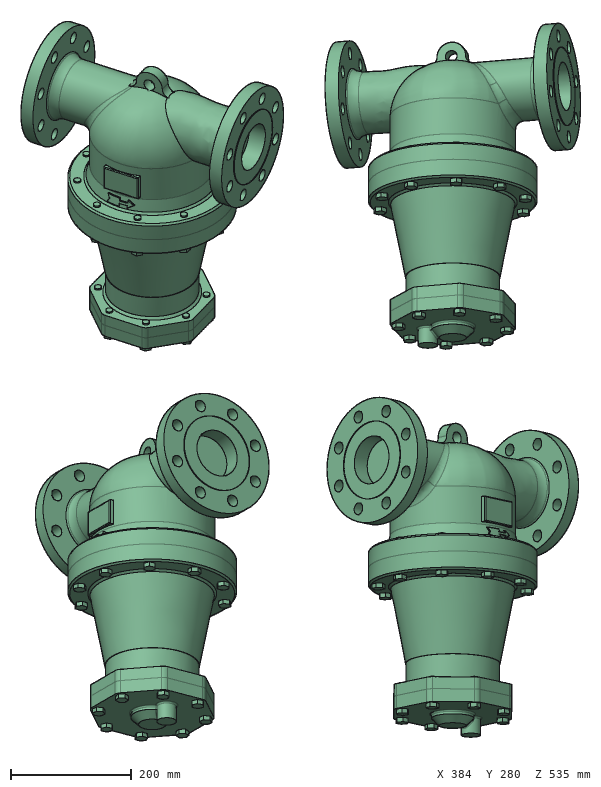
import cadquery as cq
import math


pick_margin = 0.5

face_to_face = 384.0
pipe_diameter = 104.0
overall_height = 535
end_flange_diameter = 210.0
pipe_axis_z = overall_height - end_flange_diameter / 2
raised_face_diameter = 130.5
raised_face_height = 1.5
end_flange_thickness = 23.0
end_bolt_circle = 168.0
end_bolt_hole = 20.0
end_bolt_count = 8
bore_diameter = 80
bore_depth = 30.5
hub_length = 20.0
hub_rise = 5.5
hub_end_x = face_to_face / 2 - raised_face_height - end_flange_thickness - hub_length
hub_fillet = 2.0
outlet_bend_x = 96.5
outlet_crest_x = 56.0
outlet_crest_rise = 3.0
outlet_end_x = 21.5
outlet_end_drop = 7.5
inlet_blend = 14.5

body_diameter = 208.0
dome_base_z = 393.0
dome_height = 93.0
flare_top_z = 330.5
flare_bottom_diameter = 219.5

main_flange_diameter = 280.0
main_flange_top_z = 305.5
main_flange_split_z = 275.0
main_flange_bottom_z = 244.5
main_flange_chamfer = 3.0
main_neck_fillet = 4.0
main_bolt_circle = 250.0
main_bolt_count = 10
stud_diameter = 12.0
stud_height = 2.5
nut_corner_width = 21.5
nut_height = 7.5

cone_top_diameter = 206.0
cone_bottom_diameter = 157.0
cone_bottom_z = 114.5
neck_diameter = 155
neck_fillet = 4.5

octagon_width = 195.0
octagon_corner_radius = 13.5
octagon_top_z = 71.0
octagon_split_z = 51.0
octagon_bottom_z = 29.0
octagon_bolt_circle = 181.0
octagon_bolt_count = 8
octagon_turn = 180 / octagon_bolt_count

boss_diameter = 70.5
boss_bottom_diameter = 45.0
boss_fillet = 2.5
drain_blend = 2.0
boss_edge_z = 22.0
boss_bottom_z = 9.5
drain_diameter = 32
drain_x = 43

lug_hole_z = 495.5
lug_hole_diameter = 20.0
lug_radius = 24.5
lug_thickness = 20.0
lug_root_radius = 14.0
lug_foot_z = 460

pad_width = 65.5
pad_height = 43
pad_center_z = 356.5
pad_face_y = -107
pad_chamfer = 1.5
arrow_relief = 2.5
arrow_center_z = 319.5
arrow_half_length = 25.0
arrow_half_height = 7.0
arrow_tail_notch = 4.5
arrow_tail_end_x = -1.0
arrow_shaft_half_height = 2.0
arrow_head_base_x = 14.0


def cylinder_z(diameter, z_low, z_high, x=0.0, y=0.0):
    return cq.Workplane("XY", origin=(x, y, z_low)).circle(diameter / 2).extrude(z_high - z_low)


def around_z(bolt_circle, count, start_angle, make):
    """Fuse copies of make(x, y, angle) spaced evenly on a bolt circle."""
    ring = cq.Workplane("XY")
    for i in range(count):
        angle = start_angle + i * 360 / count
        x = bolt_circle / 2 * math.cos(math.radians(angle))
        y = bolt_circle / 2 * math.sin(math.radians(angle))
        ring = ring.add(make(x, y, angle))
    return ring.combine()


def bolts(bolt_circle, count, start_angle, top_z, bottom_z):
    """Stud ends standing on the flange and hexagon nuts under it."""
    def one(x, y, angle):
        stud = cylinder_z(stud_diameter, bottom_z, top_z + stud_height, x, y)
        nut = (
            cq.Workplane("XY", origin=(0, 0, bottom_z - nut_height))
            .polygon(6, nut_corner_width)
            .extrude(nut_height)
            .rotate((0, 0, 0), (0, 0, 1), angle)
            .translate((x, y, 0))
        )
        return stud.union(nut).val()

    return around_z(bolt_circle, count, start_angle, one)


def pipe_end():
    """Hub, flange and raised face of the -X pipe."""
    face_x = -face_to_face / 2
    front_x = face_x + raised_face_height
    back_x = front_x + end_flange_thickness
    fillet_x = back_x + hub_fillet
    hub_x = -hub_end_x
    pipe_radius = pipe_diameter / 2
    hub_run = hub_x - fillet_x
    hub_radius = (hub_run**2 + hub_rise**2) / (2 * hub_rise)
    half_angle = math.asin(hub_run / hub_radius) / 2
    hub_mid = (
        hub_x - hub_radius * math.sin(half_angle),
        pipe_radius + hub_radius * (1 - math.cos(half_angle)),
    )
    hub_end_radius = pipe_radius + hub_rise
    profile = (
        cq.Workplane("XY")
        .moveTo(face_x, 0)
        .lineTo(face_x, raised_face_diameter / 2)
        .lineTo(front_x, raised_face_diameter / 2)
        .lineTo(front_x, end_flange_diameter / 2)
        .lineTo(back_x, end_flange_diameter / 2)
        .lineTo(back_x, hub_end_radius + hub_fillet)
        .lineTo(fillet_x, hub_end_radius)
        .threePointArc(hub_mid, (hub_x, pipe_radius))
        .lineTo(hub_x, 0)
        .close()
    )
    return profile.revolve(360, (0, 0, 0), (1, 0, 0)).translate((0, 0, pipe_axis_z))


def end_flange_cuts():
    """Bolt holes through the -X flange and the blind bore in its face."""
    face_x = -face_to_face / 2
    plane = cq.Workplane("YZ", origin=(face_x, 0, pipe_axis_z))
    holes = (
        plane.polarArray(end_bolt_circle / 2, 180 / end_bolt_count, 360, end_bolt_count)
        .circle(end_bolt_hole / 2)
        .extrude(raised_face_height + end_flange_thickness)
    )
    return holes.union(plane.circle(bore_diameter / 2).extrude(bore_depth))


def body_of_revolution(offset=0.0):
    """Cylinder with an elliptical dome and a flared foot, optionally swollen outward."""
    radius = body_diameter / 2 + offset
    foot_radius = flare_bottom_diameter / 2 + offset
    profile = (
        cq.Workplane("XZ")
        .moveTo(0, main_flange_top_z)
        .lineTo(foot_radius + main_neck_fillet, main_flange_top_z)
        .lineTo(foot_radius, main_flange_top_z + main_neck_fillet)
        .lineTo(radius, flare_top_z)
        .lineTo(radius, dome_base_z)
        .ellipseArc(radius, dome_height, 0, 90, startAtCurrent=True)
        .close()
    )
    return profile.revolve(360, (0, 0, 0), (0, 1, 0))


def inlet_pipe():
    """Straight pipe from the -X hub to the vessel axis."""
    inlet = cq.Workplane("YZ", origin=(-hub_end_x, 0, pipe_axis_z))
    return inlet.circle(pipe_diameter / 2).extrude(hub_end_x)


def outlet_pipe():
    """Straight pipe that humps slightly and then dips on its way into the dome."""
    path = (
        cq.Workplane("XZ")
        .moveTo(hub_end_x, pipe_axis_z)
        .spline(
            [
                (outlet_bend_x, pipe_axis_z),
                (outlet_crest_x, pipe_axis_z + outlet_crest_rise),
                (outlet_end_x, pipe_axis_z - outlet_end_drop),
            ],
            tangents=[(-1, 0), (-1, -0.5)],
            includeCurrent=True,
        )
    )
    return cq.Workplane("YZ", origin=(hub_end_x, 0, pipe_axis_z)).circle(pipe_diameter / 2).sweep(path)


def lower_body():
    """Main flange, cone, neck and the fillet onto the octagonal flange."""
    flange_radius = main_flange_diameter / 2
    cone_radius = cone_top_diameter / 2
    neck_radius = neck_diameter / 2
    profile = (
        cq.Workplane("XZ")
        .moveTo(0, octagon_top_z)
        .lineTo(neck_radius + neck_fillet, octagon_top_z)
        .lineTo(neck_radius, octagon_top_z + neck_fillet)
        .lineTo(neck_radius, cone_bottom_z)
        .lineTo(cone_bottom_diameter / 2, cone_bottom_z)
        .lineTo(cone_radius, main_flange_bottom_z - main_neck_fillet)
        .lineTo(cone_radius + main_neck_fillet, main_flange_bottom_z)
        .lineTo(flange_radius - main_flange_chamfer, main_flange_bottom_z)
        .lineTo(flange_radius, main_flange_bottom_z + main_flange_chamfer)
        .lineTo(flange_radius, main_flange_top_z - main_flange_chamfer)
        .lineTo(flange_radius - main_flange_chamfer, main_flange_top_z)
        .lineTo(0, main_flange_top_z)
        .close()
    )
    return profile.revolve(360, (0, 0, 0), (0, 1, 0))


def octagon_flange():
    """Octagon with rounded corners and flats facing along X and Y."""
    corner_diameter = octagon_width / math.cos(math.radians(octagon_turn))
    return (
        cq.Workplane("XY", origin=(0, 0, octagon_bottom_z))
        .polygon(octagon_bolt_count, corner_diameter)
        .extrude(octagon_top_z - octagon_bottom_z)
        .rotate((0, 0, 0), (0, 0, 1), octagon_turn)
        .edges("|Z")
        .fillet(octagon_corner_radius)
    )


def add_drain(cover):
    """Conical boss and drain pipe under the cover, blended into it and into each other."""
    boss_radius = boss_diameter / 2
    boss = (
        cq.Workplane("XZ")
        .moveTo(0, octagon_bottom_z)
        .lineTo(boss_radius, octagon_bottom_z)
        .lineTo(boss_radius, boss_edge_z)
        .lineTo(boss_bottom_diameter / 2, boss_bottom_z)
        .lineTo(0, boss_bottom_z)
        .close()
        .revolve(360, (0, 0, 0), (0, 1, 0))
        .rotate((0, 0, 0), (0, 0, 1), 180)
    )
    drain = cylinder_z(drain_diameter, 0, octagon_bottom_z, drain_x)
    reach = drain_x + drain_diameter
    pipe_edges = cq.selectors.BoxSelector(
        (boss_bottom_diameter / 2, -drain_diameter, pick_margin),
        (drain_x + pick_margin, drain_diameter, octagon_bottom_z + pick_margin),
        boundingbox=True,
    )
    foot_edges = cq.selectors.BoxSelector(
        (-reach, -reach, octagon_bottom_z - pick_margin),
        (reach, reach, octagon_bottom_z + pick_margin),
        boundingbox=True,
    )
    blended = cover.union(boss).union(drain)
    return blended.edges(pipe_edges).fillet(drain_blend).edges(foot_edges).fillet(boss_fillet)


def lug():
    """Round eye whose sides sweep outward in quarter arcs onto the dome."""
    root_x = lug_radius + lug_root_radius
    root_z = lug_hole_z - lug_root_radius
    arc_x = root_x - lug_root_radius * math.sqrt(0.5)
    arc_z = lug_hole_z - lug_root_radius * math.sqrt(0.5)
    return (
        cq.Workplane("XZ", origin=(0, lug_thickness / 2, 0))
        .moveTo(-lug_radius, lug_hole_z)
        .threePointArc((0, lug_hole_z + lug_radius), (lug_radius, lug_hole_z))
        .threePointArc((arc_x, arc_z), (root_x, root_z))
        .lineTo(root_x, lug_foot_z)
        .lineTo(-root_x, lug_foot_z)
        .lineTo(-root_x, root_z)
        .threePointArc((-arc_x, arc_z), (-lug_radius, lug_hole_z))
        .close()
        .extrude(lug_thickness)
    )


def lug_hole():
    """Bar through the lug, which also grazes the top of the dome."""
    return (
        cq.Workplane("XZ", origin=(0, lug_thickness, lug_hole_z))
        .circle(lug_hole_diameter / 2)
        .extrude(2 * lug_thickness)
    )


def name_pad():
    """Flat rectangular pad with a chamfered rim, standing out of the body toward -Y."""
    return (
        cq.Workplane("XY")
        .box(pad_width, -pad_face_y, pad_height)
        .translate((0, pad_face_y / 2, pad_center_z))
        .faces("<Y")
        .chamfer(pad_chamfer)
    )


def flow_arrow():
    """Arrow pointing to +X, raised evenly from the flared foot of the body."""
    upper_half = [
        (-arrow_half_length, arrow_half_height),
        (arrow_tail_end_x, arrow_half_height),
        (arrow_tail_end_x, arrow_shaft_half_height),
        (arrow_head_base_x, arrow_shaft_half_height),
        (arrow_head_base_x, arrow_half_height),
    ]
    lower_half = [(x, -z) for x, z in reversed(upper_half)]
    tip = (arrow_half_length, 0)
    notch = (arrow_tail_notch - arrow_half_length, 0)
    outline = (
        cq.Workplane("XZ", origin=(0, 0, arrow_center_z))
        .polyline(upper_half + [tip] + lower_half + [notch])
        .close()
        .extrude(body_diameter)
    )
    return outline.intersect(body_of_revolution(arrow_relief))


def split_at(solid, z):
    """Cut a solid at a height and return its parts above and below."""
    size = 2 * main_flange_diameter
    upper_space = cq.Workplane("XY", origin=(0, 0, z)).rect(size, size).extrude(size)
    return solid.intersect(upper_space), solid.cut(upper_space)


inlet_edge_zone = cq.selectors.BoxSelector(
    (-body_diameter / 2 - pick_margin, -pipe_diameter, pipe_axis_z - pipe_diameter / 2 - pick_margin),
    (-pick_margin, pipe_diameter, pipe_axis_z + pipe_diameter / 2 + pick_margin),
    boundingbox=True,
)
casing = body_of_revolution().union(inlet_pipe()).edges(inlet_edge_zone).fillet(inlet_blend)
vessel = (
    casing.union(outlet_pipe())
    .union(lower_body())
    .union(add_drain(octagon_flange()))
    .union(lug())
    .union(name_pad())
    .union(flow_arrow())
    .union(pipe_end())
    .union(pipe_end().mirror("YZ"))
    .cut(lug_hole())
    .cut(end_flange_cuts())
    .cut(end_flange_cuts().mirror("YZ"))
    .union(bolts(main_bolt_circle, main_bolt_count, 0, main_flange_top_z, main_flange_bottom_z))
    .union(bolts(octagon_bolt_circle, octagon_bolt_count, octagon_turn, octagon_top_z, octagon_bottom_z))
)

upper_casing, below_joint = split_at(vessel, main_flange_split_z)
lower_casing, cover = split_at(below_joint, octagon_split_z)
result = upper_casing.union(lower_casing, clean=False).union(cover, clean=False)